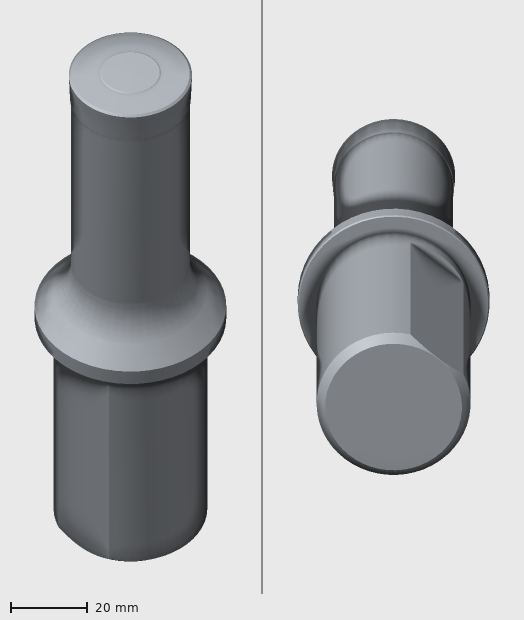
import cadquery as cq
import math

total_height = 159.0

shank_radius = 20.0
shank_chamfer = 2.2
collar_radius = 25.0
collar_bottom = 70.3
collar_top = 75.0
collar_edge_chamfer = 0.3
stem_diameter = 31.0
stem_radius = stem_diameter / 2
neck_fillet_radius = 14.3
neck_cone_angle = math.radians(45)
joint_height = 149.6

flat_distance = 18.0
flat_top = 65.0

cap_base_radius = 15.7
cap_rim_radius = 16.0
cap_face_radius = 15.5
cap_rim_height = 157.9
cap_edge_height = 158.4
centre_radius = 8.0
centre_step_width = 0.3
centre_foot_height = 158.7
centre_edge_height = 158.8
tip_radius = 0.3


def make_holder():
    """Revolved body with a flat cut into the shank."""
    arc_end_radius = stem_radius + neck_fillet_radius * (1 - math.cos(neck_cone_angle))
    arc_end_height = collar_top + (collar_radius - arc_end_radius) * math.tan(neck_cone_angle)
    arc_top = arc_end_height + neck_fillet_radius * math.sin(neck_cone_angle)
    half_angle = neck_cone_angle / 2
    arc_middle = (
        stem_radius + neck_fillet_radius * (1 - math.cos(half_angle)),
        arc_top - neck_fillet_radius * math.sin(half_angle),
    )
    body = (
        cq.Workplane("XZ")
        .moveTo(0, 0)
        .lineTo(shank_radius - shank_chamfer, 0)
        .lineTo(shank_radius, shank_chamfer)
        .lineTo(shank_radius, collar_bottom)
        .lineTo(collar_radius - collar_edge_chamfer, collar_bottom)
        .lineTo(collar_radius, collar_bottom + collar_edge_chamfer)
        .lineTo(collar_radius, collar_top)
        .lineTo(arc_end_radius, arc_end_height)
        .threePointArc(arc_middle, (stem_radius, arc_top))
        .lineTo(stem_radius, joint_height)
        .lineTo(0, joint_height)
        .close()
        .revolve()
    )
    flat_cutter = cq.Workplane("XY").box(
        2 * shank_radius, shank_radius, flat_top, centered=(True, False, False)
    ).translate((0, -flat_distance - shank_radius, 0))
    return body.cut(flat_cutter)


def make_cap():
    """Tapered head resting on the end of the stem."""
    return (
        cq.Workplane("XZ")
        .moveTo(0, joint_height)
        .lineTo(cap_base_radius, joint_height)
        .lineTo(cap_rim_radius, cap_rim_height)
        .lineTo(cap_face_radius, cap_edge_height)
        .lineTo(centre_radius, centre_foot_height)
        .lineTo(centre_radius - centre_step_width, centre_edge_height)
        .lineTo(tip_radius, total_height)
        .lineTo(0, total_height)
        .close()
        .revolve()
    )


holder = make_holder()
cap = make_cap()

result = cq.Compound.makeCompound([holder.val(), cap.val()])